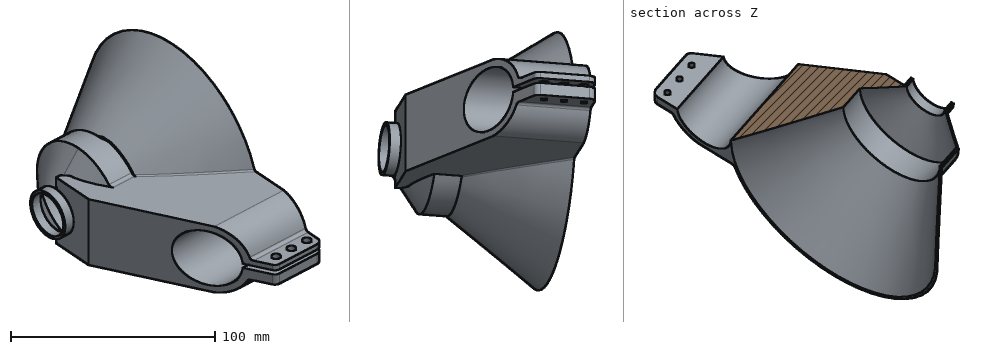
import cadquery as cq
import math


wall = 1.5
mouth_radius = 63.41
cone_end_radius = 30.9
cone_end_depth = 47.9
collar_radius = 30.75
collar_start = 48.3
collar_end = 62.0
spout_radius = 13.0
spout_start = 76.5
spout_end = 82.0

arm_half_height = 20.0
arm_knee_x = 24.0
arm_end_x = 110.0
arm_end_depth = 30.0
arm_notch_depth = 73.7
arm_notch_size = 3.0
arm_corner_radius = 3.5

cone_blend_radius = 1.0
collar_blend_radius = 3.0
ledge_depth = 47.0

bore_x = 78.4
bore_radius = 16.25
clamp_wall = 4.0
clamp_radius = bore_radius + clamp_wall
slot_half_width = 1.25
upper_lug_top = 4.5
lower_lug_bottom = -7.5
lug_blend_radius = 2.0

screw_x = 104.2
screw_depths = (5.0, 15.0, 25.0)
clearance_diameter = 4.6
thread_diameter = 3.0


def other_leg(hypotenuse, leg):
    """Remaining leg of a right triangle."""
    return math.sqrt(hypotenuse**2 - leg**2)


def revolve_about_axis(profile):
    """Turn a closed (y, radius) outline about the Y axis."""
    return cq.Workplane("YZ").polyline(profile).close().revolve(360, (0, 0, 0), (1, 0, 0))


def box_along_axis(x_range, z_range, depth_range):
    """Box given by its X range, Z range and range of depths."""
    (left, right), (bottom, top), (start, end) = x_range, z_range, depth_range
    return cq.Workplane("XY").box(right - left, end - start, top - bottom, centered=False).translate(
        (left, -end, bottom)
    )


def cylinder_along_axis(x, radius, start, end):
    """Cylinder parallel to Y, centred at z = 0, between two depths."""
    return cq.Workplane("XZ", origin=(x, -start, 0)).circle(radius).extrude(end - start)


def funnel_body():
    """Solid outside of the funnel: wide cone, narrow step, collar, short cone and spout."""
    return revolve_about_axis([
        (0, 0),
        (0, mouth_radius),
        (-cone_end_depth, cone_end_radius),
        (-collar_start, collar_radius),
        (-collar_end, collar_radius),
        (-spout_start, spout_radius),
        (-spout_end, spout_radius),
        (-spout_end, 0),
    ])


def funnel_cavity():
    """Inside of the funnel, with radii one wall thickness smaller than the outside."""
    return revolve_about_axis([
        (0, 0),
        (0, mouth_radius - wall),
        (-collar_start, collar_radius - wall),
        (-collar_end, collar_radius - wall),
        (-spout_start, spout_radius - wall),
        (-spout_end, spout_radius - wall),
        (-spout_end, 0),
    ])


def arm_section():
    """Arm, clamp ring and lugs at full depth, before the bore and slot are cut."""
    full_depth = (0, spout_start)
    flat_end_x = bore_x + other_leg(clamp_radius, arm_half_height)
    bar_and_ring = (
        cq.Workplane("XZ")
        .moveTo(0, -arm_half_height)
        .lineTo(flat_end_x, -arm_half_height)
        .threePointArc((bore_x + clamp_radius, 0), (flat_end_x, arm_half_height))
        .lineTo(0, arm_half_height)
        .close()
        .extrude(spout_start)
    )
    lugs = box_along_axis((bore_x, arm_end_x), (lower_lug_bottom, upper_lug_top), full_depth)
    section = bar_and_ring.union(lugs)
    for height in (upper_lug_top, lower_lug_bottom):
        root = (bore_x + other_leg(clamp_radius, height), -spout_start / 2, height)
        section = section.edges(cq.NearestToPointSelector(root)).fillet(lug_blend_radius)
    return section


def arm_plan():
    """Plan of the arm: deep beside the funnel, tapering to the rounded lug end."""
    plan = (
        cq.Workplane("XY", origin=(0, 0, -arm_half_height))
        .polyline([
            (arm_notch_size, 0),
            (arm_end_x, 0),
            (arm_end_x, -arm_end_depth),
            (arm_knee_x, -spout_start),
            (0, -spout_start),
            (0, -arm_notch_depth),
            (arm_notch_size, arm_notch_size - arm_notch_depth),
        ])
        .close()
        .extrude(2 * arm_half_height)
    )
    return plan.edges("|Z and >X").fillet(arm_corner_radius)


def ledge_relief():
    """Trim around the collar, above the arm, that leaves a thin ledge at the foot of the wide cone."""
    block = box_along_axis(
        (0, mouth_radius), (arm_half_height, collar_radius), (ledge_depth, collar_end)
    )
    return block.cut(cylinder_along_axis(0, collar_radius, ledge_depth, collar_end))


def join_arm_to_funnel(funnel, arm):
    """Fillet the arm into the wide cone on both sides and, past the ledge, into the upper collar."""
    joined = funnel.union(arm)
    middle_depth = cone_end_depth / 2
    middle_radius = (mouth_radius + cone_end_radius) / 2
    for height in (arm_half_height, -arm_half_height):
        cone_seam = (other_leg(middle_radius, height), -middle_depth, height)
        joined = joined.edges(cq.NearestToPointSelector(cone_seam)).fillet(cone_blend_radius)

    joined = joined.cut(ledge_relief())
    collar_seam = (
        other_leg(collar_radius, arm_half_height),
        -(ledge_depth + collar_end) / 2,
        arm_half_height,
    )
    return joined.edges(cq.NearestToPointSelector(collar_seam)).fillet(collar_blend_radius)


def clamp_opening():
    """Bore for the clamped bar and the slot between the two lugs."""
    bore = cylinder_along_axis(bore_x, bore_radius, 0, spout_start)
    slot = box_along_axis(
        (bore_x, arm_end_x), (-slot_half_width, slot_half_width), (0, spout_start)
    )
    return bore.union(slot)


def screw_holes():
    """Clearance holes through the upper lug and thread holes through the lower lug."""
    places = cq.Workplane("XY").pushPoints([(screw_x, -depth) for depth in screw_depths])
    clearance = places.circle(clearance_diameter / 2).extrude(upper_lug_top)
    thread = places.circle(thread_diameter / 2).extrude(lower_lug_bottom)
    return clearance.union(thread)


clamp_arm = arm_section().intersect(arm_plan())
body = join_arm_to_funnel(funnel_body(), clamp_arm)
result = body.cut(funnel_cavity()).cut(clamp_opening()).cut(screw_holes())